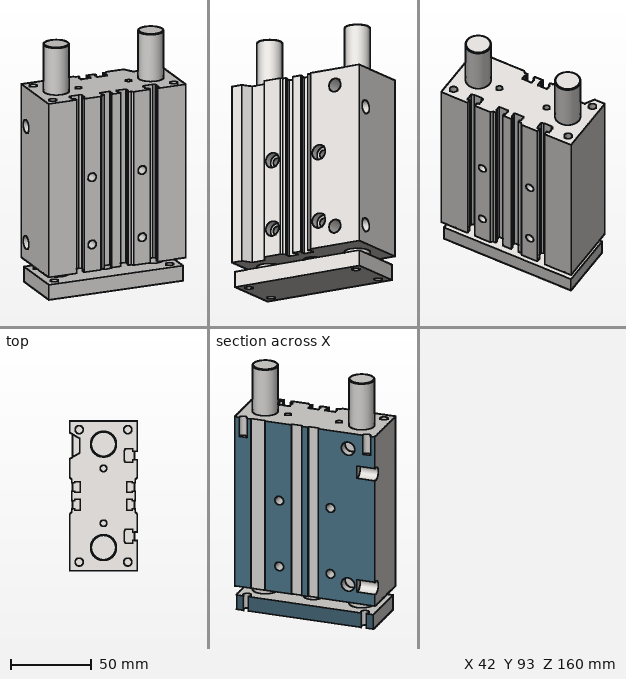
import cadquery as cq
import math


total_height = 160.0
housing_width = 42.0
housing_length = 93.0
housing_bottom = 15.5
housing_top = 129.0
housing_height = housing_top - housing_bottom
side_x = housing_width / 2

plate_width = 38.4
plate_length = 90.9
plate_thickness = 10.0
plate_hole_diameter = 5.1
plate_hole_x = 13.0
plate_hole_y = 39.0
guide_rod_diameter = 16.0
guide_rod_y = 32.0
guide_rod_chamfer = 0.5
piston_rod_diameter = 12.0

v_groove_y = 31.0
v_groove_depth = 6.2
v_groove_floor_width = 9.0
v_groove_flank_angle = 30.0

recess_length = 22.5
recess_depth = 1.3
sensor_slot_spacing = 11.0
sensor_slot_mouth_width = 5.1
sensor_slot_inner_width = 6.7
sensor_slot_lip_depth = 3.0
sensor_slot_depth = 6.7

t_slot_y = 25.0
t_slot_mouth_width = 5.1
t_slot_inner_width = 8.5
t_slot_lip_depth = 2.7
t_slot_depth = 8.2
t_slot_corner_depth = 0.6
t_slot_corner_width = 1.6

corner_hole_diameter = 5.0
corner_hole_x = 15.0
corner_hole_y = 41.0
small_hole_diameter = 4.0
small_hole_y = 17.0
top_hole_depth = 12.8

mount_hole_diameter = 5.5
mount_hole_y = 17.0
mount_hole_levels = (33.0, 77.0)
counterbore_diameter = 9.5
counterbore_depth = 5.6

port_diameter = 8.5
port_depth = 12.0
side_port_y = -28.6
side_port_levels = (27.5, 118.4)
end_port_x = -13.5
end_port_levels = (27.5, 103.5)


def upright_prism(points):
    """Prism over the full housing height with the given XY outline."""
    base_plane = cq.Workplane("XY").workplane(offset=housing_bottom)
    return base_plane.polyline(points).close().extrude(housing_height)


def side_channel(half_profile, center_y, side):
    """Vertical channel in one X side (side = 1 or -1), symmetric about center_y.

    half_profile lists (depth below the side face, half width) from mouth to floor.
    """
    upper = [(side * (side_x - depth), center_y + half) for depth, half in half_profile]
    lower = [(side * (side_x - depth), center_y - half) for depth, half in reversed(half_profile)]
    return upright_prism(upper + lower)


def round_bar(start, direction, diameter, length):
    """Cylinder starting at a point and running along a direction."""
    return cq.Workplane(cq.Solid.makeCylinder(diameter / 2, length, cq.Vector(*start), cq.Vector(*direction)))


def v_groove():
    floor_half = v_groove_floor_width / 2
    mouth_half = floor_half + v_groove_depth * math.tan(math.radians(v_groove_flank_angle))
    return side_channel([(0, mouth_half), (v_groove_depth, floor_half)], v_groove_y, -1)


def recess(side):
    mouth_half = recess_length / 2
    return side_channel([(0, mouth_half), (recess_depth, mouth_half - recess_depth)], 0, side)


def sensor_slot(center_y, side):
    mouth_half = sensor_slot_mouth_width / 2
    inner_half = sensor_slot_inner_width / 2
    profile = [
        (0, mouth_half),
        (sensor_slot_lip_depth, mouth_half),
        (sensor_slot_lip_depth, inner_half),
        (sensor_slot_depth, inner_half),
    ]
    return side_channel(profile, center_y, side)


def t_slot(center_y):
    mouth_half = t_slot_mouth_width / 2
    inner_half = t_slot_inner_width / 2
    profile = [
        (0, mouth_half),
        (t_slot_lip_depth, mouth_half),
        (t_slot_lip_depth, inner_half),
        (t_slot_depth - t_slot_corner_depth, inner_half),
        (t_slot_depth, inner_half - t_slot_corner_width),
    ]
    return side_channel(profile, center_y, 1)


def top_hole(x, y, diameter):
    return round_bar((x, y, housing_top), (0, 0, -1), diameter, top_hole_depth)


def mounting_hole(y, z):
    """Hole through the housing along X, counterbored from the -X side."""
    through = round_bar((-side_x, y, z), (1, 0, 0), mount_hole_diameter, housing_width)
    counterbore = round_bar((-side_x, y, z), (1, 0, 0), counterbore_diameter, counterbore_depth)
    return through.union(counterbore)


def make_housing():
    body = cq.Workplane("XY").workplane(offset=housing_bottom).rect(housing_width, housing_length)
    body = body.extrude(housing_height).cut(v_groove())

    for side in (-1, 1):
        body = body.cut(recess(side))
        for y in (-sensor_slot_spacing / 2, sensor_slot_spacing / 2):
            body = body.cut(sensor_slot(y, side))

    for end in (-1, 1):
        body = body.cut(t_slot(end * t_slot_y))
        bore_start = (0, end * guide_rod_y, housing_bottom)
        body = body.cut(round_bar(bore_start, (0, 0, 1), guide_rod_diameter, housing_height))
        body = body.cut(top_hole(0, end * small_hole_y, small_hole_diameter))
        for x in (-corner_hole_x, corner_hole_x):
            body = body.cut(top_hole(x, end * corner_hole_y, corner_hole_diameter))
        for z in mount_hole_levels:
            body = body.cut(mounting_hole(end * mount_hole_y, z))

    for z in side_port_levels:
        body = body.cut(round_bar((-side_x, side_port_y, z), (1, 0, 0), port_diameter, port_depth))
    for z in end_port_levels:
        body = body.cut(round_bar((end_port_x, -housing_length / 2, z), (0, 1, 0), port_diameter, port_depth))
    return body


def make_slide():
    """Tool plate with its guide rods and the piston rod, which meets the housing underside."""
    slide = cq.Workplane("XY").rect(plate_width, plate_length).extrude(plate_thickness)
    for x in (-plate_hole_x, plate_hole_x):
        for y in (-plate_hole_y, plate_hole_y):
            slide = slide.cut(round_bar((x, y, 0), (0, 0, 1), plate_hole_diameter, plate_thickness))

    rod_length = total_height - plate_thickness
    for y in (-guide_rod_y, guide_rod_y):
        rod = round_bar((0, y, plate_thickness), (0, 0, 1), guide_rod_diameter, rod_length)
        slide = slide.union(rod.faces(">Z").chamfer(guide_rod_chamfer))

    piston_rod_length = housing_bottom - plate_thickness
    return slide.union(round_bar((0, 0, plate_thickness), (0, 0, 1), piston_rod_diameter, piston_rod_length))


housing = make_housing()
slide = make_slide()

result = cq.Compound.makeCompound([housing.val(), slide.val()])